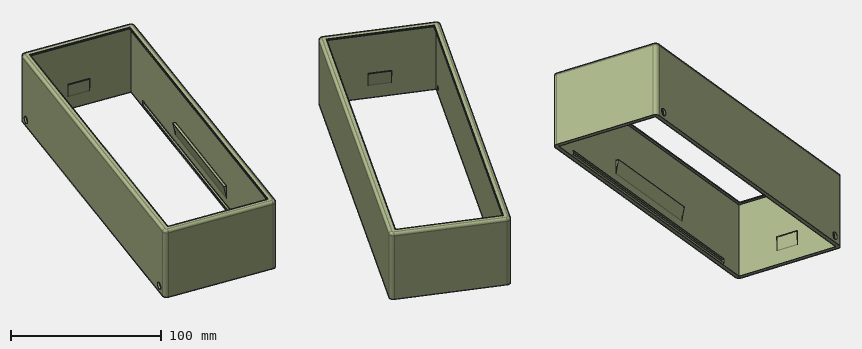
import cadquery as cq

LENGTH = 225.0
WIDTH = 82.5
HEIGHT = 54.5
WALL = 3.0
CORNER_RADIUS = 3.0
TOP_RADIUS = 2.0

LIP_OVERHANG = 2.0
LIP_HEIGHT = 1.0
LIP_CHAMFER = 0.5

SCREW_DIAMETER = 2.8
SCREW_HEAD_DIAMETER = 5.0
SCREW_HEAD_DEPTH = 1.5
SCREW_END_OFFSET = 8.4
SCREW_HEIGHT = 5.0

BACK_CATCH_PROTRUSION = 2.0
END_CATCH_PROTRUSION = 0.8
CATCH_TOP = 20.5
CATCH_BOTTOM = 10.5
BACK_CATCH_LENGTH = 80.0
END_CATCH_LENGTH = 16.0

GROOVE_LENGTH = 183.0
GROOVE_DEPTH = 1.6
GROOVE_BOTTOM = 1.85
GROOVE_HEIGHT = 3.0

BASE_Z = -HEIGHT / 2
TOP_Z = HEIGHT / 2
INNER_LENGTH = LENGTH - 2 * WALL
INNER_WIDTH = WIDTH - 2 * WALL
INNER_X = INNER_LENGTH / 2
INNER_Y = INNER_WIDTH / 2


def make_shell():
    """Rectangular sleeve with rounded outer edges and a chamfered lip at the top."""
    shell = cq.Workplane("XY").box(LENGTH, WIDTH, HEIGHT)
    shell = shell.edges("|Z").fillet(CORNER_RADIUS)
    shell = shell.faces(">Z").edges().fillet(TOP_RADIUS)
    cavity = (
        cq.Workplane("XY", origin=(0, 0, BASE_Z))
        .rect(INNER_LENGTH, INNER_WIDTH)
        .extrude(HEIGHT - LIP_HEIGHT)
    )
    opening_length = INNER_LENGTH - 2 * LIP_OVERHANG
    opening_width = INNER_WIDTH - 2 * LIP_OVERHANG
    opening = cq.Workplane("XY").rect(opening_length, opening_width).extrude(TOP_Z)
    chamfer = (
        cq.Workplane("XY", origin=(0, 0, TOP_Z - LIP_CHAMFER))
        .rect(opening_length, opening_width)
        .workplane(offset=LIP_CHAMFER)
        .rect(opening_length + 2 * LIP_CHAMFER, opening_width + 2 * LIP_CHAMFER)
        .loft(ruled=True)
    )
    return shell.cut(cavity).cut(opening).cut(chamfer)


def make_catch(length, protrusion, wall_distance):
    """Wedge centred on Y = 0, pointing to -X from a wall at X = wall_distance."""
    top = BASE_Z + CATCH_TOP
    return (
        cq.Workplane("XZ", origin=(0, length / 2, 0))
        .moveTo(wall_distance, BASE_Z + CATCH_BOTTOM)
        .lineTo(wall_distance - protrusion, top)
        .lineTo(wall_distance, top)
        .close()
        .extrude(length)
    )


def turn_about_z(body, angle):
    """Turn a body about the Z axis by an angle in degrees."""
    return body.rotate((0, 0, 0), (0, 0, 1), angle)


def make_groove():
    """Slot cut into the inner face of the back wall."""
    return (
        cq.Workplane("XY", origin=(0, INNER_Y, BASE_Z + GROOVE_BOTTOM))
        .rect(GROOVE_LENGTH, 2 * GROOVE_DEPTH)
        .extrude(GROOVE_HEIGHT)
    )


def cut_screw_holes(body):
    """Counterbored holes near both ends of the front wall."""
    inward = cq.Vector(0, 1, 0)
    for side in (-1, 1):
        centre = cq.Vector(side * (LENGTH / 2 - SCREW_END_OFFSET), -WIDTH / 2, BASE_Z + SCREW_HEIGHT)
        shank = cq.Solid.makeCylinder(SCREW_DIAMETER / 2, WALL, centre, inward)
        head = cq.Solid.makeCylinder(SCREW_HEAD_DIAMETER / 2, SCREW_HEAD_DEPTH, centre, inward)
        body = body.cut(cq.Workplane(shank)).cut(cq.Workplane(head))
    return body


def add_catches(body):
    """One long catch on the back wall and a short one on each end wall."""
    body = body.union(turn_about_z(make_catch(BACK_CATCH_LENGTH, BACK_CATCH_PROTRUSION, INNER_Y), 90))
    end_catch = make_catch(END_CATCH_LENGTH, END_CATCH_PROTRUSION, INNER_X)
    for angle in (0, 180):
        body = body.union(turn_about_z(end_catch, angle))
    return body


case = add_catches(make_shell())
case = case.cut(make_groove())
result = cut_screw_holes(case)